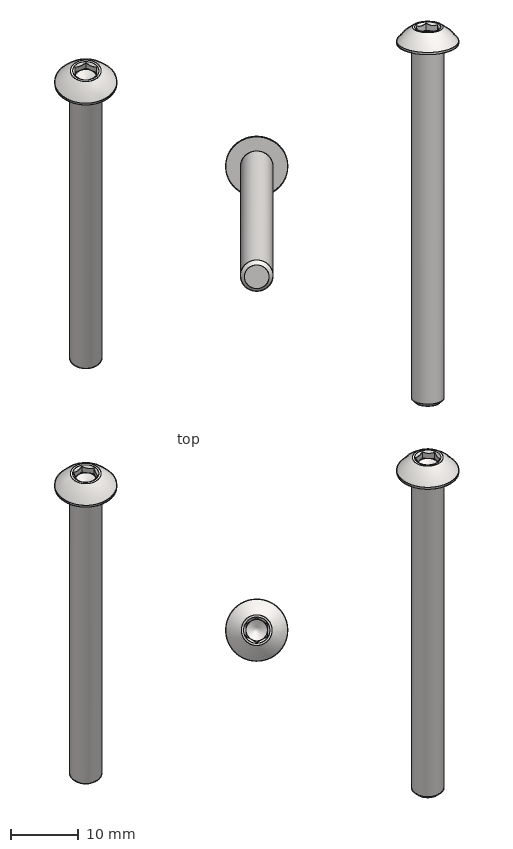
import cadquery as cq
import math

total_length = 59.7
head_diameter = 9.2
head_height = 2.55
rim_height = 0.35
head_top_diameter = 4.55
dome_bulge = 0.2
shank_diameter = 4.85
tip_chamfer = 0.6

socket_across_flats = 3.15
socket_depth = 1.25
socket_mouth_diameter = 3.9
floor_cone_angle = 120.0

shank_length = total_length - head_height
head_radius = head_diameter / 2
head_top_radius = head_top_diameter / 2
socket_across_corners = socket_across_flats / math.cos(math.radians(30))


def make_head():
    """Revolved button head with a short cylindrical rim and a domed side."""
    dome_height = head_height - rim_height
    dome_width = head_radius - head_top_radius
    chord = math.hypot(dome_width, dome_height)
    dome_middle = (
        (head_radius + head_top_radius) / 2 + dome_bulge * dome_height / chord,
        (head_height + rim_height) / 2 + dome_bulge * dome_width / chord,
    )
    return (
        cq.Workplane("XZ")
        .moveTo(0, 0)
        .lineTo(head_radius, 0)
        .lineTo(head_radius, rim_height)
        .threePointArc(dome_middle, (head_top_radius, head_height))
        .lineTo(0, head_height)
        .close()
        .revolve(360, (0, 0), (0, 1))
    )


def make_shank():
    """Plain cylinder below the head, chamfered at its tip."""
    return (
        cq.Workplane("XY")
        .circle(shank_diameter / 2)
        .extrude(-shank_length)
        .faces("<Z")
        .chamfer(tip_chamfer)
    )


def make_cone(diameter, height, base_height):
    """Cone pointing down from a circle at base_height."""
    return cq.Workplane(
        cq.Solid.makeCone(diameter / 2, 0, height, cq.Vector(0, 0, base_height), cq.Vector(0, 0, -1))
    )


def make_socket():
    """Hex recess with flats facing X, a 45 degree mouth and a conical floor."""
    floor_height = head_height - socket_depth
    hexagon = (
        cq.Workplane("XY", origin=(0, 0, floor_height))
        .transformed(rotate=(0, 0, 30))
        .polygon(6, socket_across_corners)
        .extrude(socket_depth)
    )
    mouth = make_cone(socket_mouth_diameter, socket_mouth_diameter / 2, head_height)
    point_height = socket_across_flats / 2 / math.tan(math.radians(floor_cone_angle / 2))
    floor = make_cone(socket_across_flats, point_height, floor_height)
    mouth_limit = (
        cq.Workplane("XY", origin=(0, 0, floor_height))
        .circle(socket_mouth_diameter / 2)
        .extrude(socket_depth)
    )
    return hexagon.union(mouth.intersect(mouth_limit)).union(floor)


result = make_head().union(make_shank()).cut(make_socket())